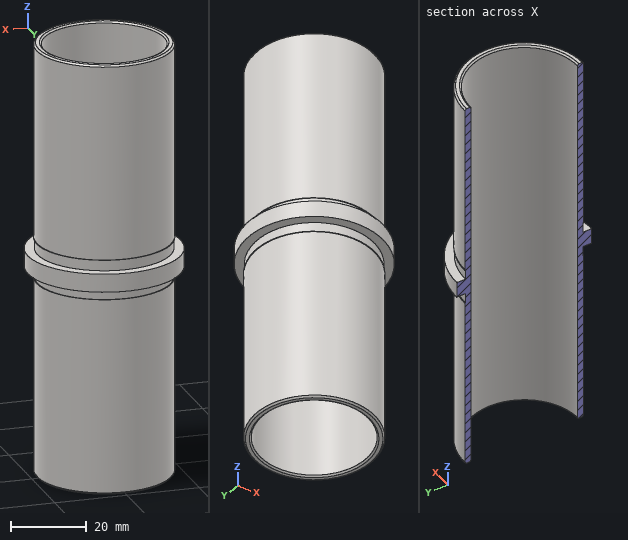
import cadquery as cq

LENGTH = 120.0
TUBE_DIAMETER = 37.3
BORE_DIAMETER = 33.2

COLLAR_DIAMETER = 42.4
COLLAR_WIDTH = 5.0
RELIEF_WIDTH = 3.0
RELIEF_DEPTH = 0.2

OUTER_CHAMFER = 0.5
INNER_CHAMFER = 0.5


def centred_cylinder(diameter, length):
    """Solid cylinder along Z, centred on the origin."""
    return cq.Workplane("XY").cylinder(length, diameter / 2)


def make_body():
    """Chamfered bar with a narrowed middle carrying the collar."""
    bar = centred_cylinder(TUBE_DIAMETER, LENGTH).faces("<Z or >Z").chamfer(OUTER_CHAMFER)

    relief_span = COLLAR_WIDTH + 2 * RELIEF_WIDTH
    relief_core = centred_cylinder(TUBE_DIAMETER - 2 * RELIEF_DEPTH, relief_span)
    relief = centred_cylinder(COLLAR_DIAMETER, relief_span).cut(relief_core)

    collar = centred_cylinder(COLLAR_DIAMETER, COLLAR_WIDTH)
    return bar.cut(relief).union(collar)


def make_bore():
    """Through bore, flared at both ends by the inner chamfers."""
    bore_radius = BORE_DIAMETER / 2
    mouth_radius = bore_radius + INNER_CHAMFER
    end = LENGTH / 2
    flare_start = end - INNER_CHAMFER
    return (
        cq.Workplane("XZ")
        .moveTo(0, -end)
        .lineTo(mouth_radius, -end)
        .lineTo(bore_radius, -flare_start)
        .lineTo(bore_radius, flare_start)
        .lineTo(mouth_radius, end)
        .lineTo(0, end)
        .close()
        .revolve(360, (0, 0, 0), (0, 1, 0))
    )


result = make_body().cut(make_bore())